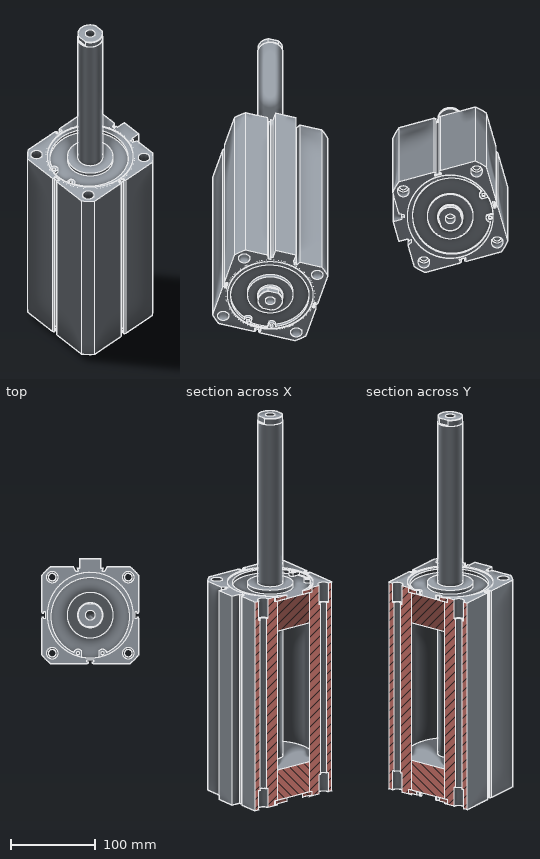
import cadquery as cq
import math


body_side = 115.0
body_height = 262.5
face_flat_half = 47.0
bore_radius = 50.5
mount_hole_offset = 45.0
mount_hole_radius = 4.5
counterbore_radius = 6.8
counterbore_depth = 24.0

slot_mouth_half = 4.0
slot_throat_half = 2.0
slot_pocket_half = 4.0
slot_bevel = 1.0
slot_lip = 2.5
slot_depth = 4.5

rail_height = 9.0
rail_half = 12.5
rail_foot_half = 15.5
rail_foot_drop = 2.0
notch_top_half = 20.0
notch_floor_outer = 17.5
notch_floor_inner = 14.0
notch_depth = 5.5

ring_inset = 1.5
ring_thickness = 4.5
ring_groove_radius = 52.5
ring_inner_radius = 46.5
ring_inner_shift = 2.0
ring_gap_half = 10.5
lug_x = 14.5
lug_y = -45.0
lug_radius = 5.0
lug_hole_radius = 2.0

cover_inset = ring_inset + ring_thickness
cover_length = 38.5
boss_radius = 27.0
boss_inset = 1.0

rod_diameter = 30.0
rod_bottom = -10.0
rod_top = 472.5
rod_end_diameter = 29.5
rod_end_length = 7.5
rod_end_chamfer = 0.5
flat_length = 6.8
across_flats = 26.5
rod_hole_radius = 6.0
rod_hole_depth = 24.0
drill_point_angle = 118.0

half_side = body_side / 2
corner_turning_radius = math.hypot(half_side, face_flat_half)


def cylinder(radius, bottom, height):
    return cq.Workplane("XY").workplane(offset=bottom).circle(radius).extrude(height)


def flip_to_lower_end(solid):
    """Copy of something made for the upper end of the body, mirrored to the lower end."""
    return solid.mirror("XY", (0, 0, body_height / 2))


def sensor_slot():
    """Cutter for the slot in the -Y face."""
    face = -half_side
    lip = face + slot_lip
    bevel_end = face + slot_bevel
    floor = face + slot_depth
    right_half = [
        (slot_mouth_half, face),
        (slot_throat_half, bevel_end),
        (slot_throat_half, lip),
        (slot_pocket_half, lip),
        (slot_pocket_half, floor),
    ]
    left_half = [(-x, y) for x, y in reversed(right_half)]
    return cq.Workplane("XY").polyline(right_half + left_half).close().extrude(body_height)


def rail_notch():
    """Cutter for the notch on the +X side of the rail."""
    foot_top = half_side - rail_foot_drop
    floor = half_side - notch_depth
    outline = [
        (rail_half, half_side),
        (notch_top_half, half_side),
        (notch_floor_outer, floor),
        (notch_floor_inner, floor),
        (rail_foot_half, foot_top),
        (rail_half, foot_top),
    ]
    return cq.Workplane("XY").polyline(outline).close().extrude(body_height)


def ring_groove():
    bottom = body_height - ring_inset - ring_thickness
    return cylinder(ring_groove_radius, bottom, ring_thickness)


def make_body():
    body = cq.Workplane("XY").rect(body_side, body_side).extrude(body_height)
    body = body.intersect(cylinder(corner_turning_radius, 0, body_height))
    rail = (
        cq.Workplane("XY")
        .center(0, half_side)
        .rect(2 * rail_half, 2 * rail_height)
        .extrude(body_height)
    )
    body = body.union(rail)
    body = body.cut(rail_notch()).cut(rail_notch().mirror("YZ"))
    for angle in (-90, 0, 90):
        body = body.cut(sensor_slot().rotate((0, 0, 0), (0, 0, 1), angle))
    body = body.cut(cylinder(bore_radius, 0, body_height))
    body = body.cut(ring_groove()).cut(flip_to_lower_end(ring_groove()))

    for x in (-mount_hole_offset, mount_hole_offset):
        for y in (-mount_hole_offset, mount_hole_offset):
            counterbore = cylinder(counterbore_radius, body_height - counterbore_depth, counterbore_depth)
            counterbore = counterbore.translate((x, y, 0))
            body = body.cut(cylinder(mount_hole_radius, 0, body_height).translate((x, y, 0)))
            body = body.cut(counterbore).cut(flip_to_lower_end(counterbore))
    return body


def make_cover():
    """Cover for the upper end of the body."""
    bottom = body_height - cover_inset - cover_length
    boss_height = body_height - boss_inset - bottom
    cover = cylinder(bore_radius, bottom, cover_length)
    cover = cover.union(cylinder(boss_radius, bottom, boss_height))
    return cover.cut(cylinder(rod_diameter / 2, bottom, boss_height))


def make_ring():
    """Retaining ring for the upper end of the body, open toward -Y, with a holed lug on each tip."""
    bottom = body_height - ring_inset - ring_thickness
    inner = cylinder(ring_inner_radius, bottom, ring_thickness).translate((0, -ring_inner_shift, 0))
    ring = cylinder(ring_groove_radius, bottom, ring_thickness).cut(inner)
    lug_places = [(-lug_x, lug_y), (lug_x, lug_y)]
    plane = cq.Workplane("XY").workplane(offset=bottom)
    ring = ring.union(plane.pushPoints(lug_places).circle(lug_radius).extrude(ring_thickness))
    ring = ring.cut(plane.pushPoints(lug_places).circle(lug_hole_radius).extrude(ring_thickness))
    gap = (
        plane.center(0, -ring_groove_radius)
        .rect(2 * ring_gap_half, 2 * ring_groove_radius)
        .extrude(ring_thickness)
    )
    return ring.cut(gap)


def rod_hole():
    """Cutter for the drilled hole in the upper rod end, with its conical bottom."""
    bottom = rod_top - rod_hole_depth
    point_height = rod_hole_radius / math.tan(math.radians(drill_point_angle / 2))
    profile = [
        (0, rod_top),
        (rod_hole_radius, rod_top),
        (rod_hole_radius, bottom),
        (0, bottom - point_height),
    ]
    return cq.Workplane("XZ").polyline(profile).close().revolve(360, (0, 0, 0), (0, 1, 0))


def wrench_flats():
    """Cutter for the two flats on the -Y and +Y sides of the upper rod end."""
    plane = cq.Workplane("XY").workplane(offset=rod_top - flat_length)
    cutter_side = 2 * rod_diameter
    outside = plane.rect(cutter_side, cutter_side).rect(cutter_side, across_flats)
    return outside.extrude(flat_length)


def make_rod():
    middle = (rod_top + rod_bottom) / 2
    shank_length = rod_top - rod_bottom - 2 * rod_end_length
    rod = cylinder(rod_diameter / 2, rod_bottom + rod_end_length, shank_length)
    end = cylinder(rod_end_diameter / 2, rod_top - rod_end_length, rod_end_length)
    end = end.faces(">Z").chamfer(rod_end_chamfer)
    rod = rod.union(end).union(end.mirror("XY", (0, 0, middle)))
    for cutter in (wrench_flats(), rod_hole()):
        rod = rod.cut(cutter).cut(cutter.mirror("XY", (0, 0, middle)))
    return rod


body = make_body()
rod = make_rod()

upper_cover = make_cover()
upper_ring = make_ring()

end_parts = []
for part in (upper_cover, upper_ring):
    end_parts += [part.val(), flip_to_lower_end(part).val()]

result = cq.Compound.makeCompound([body.val(), rod.val(), *end_parts])